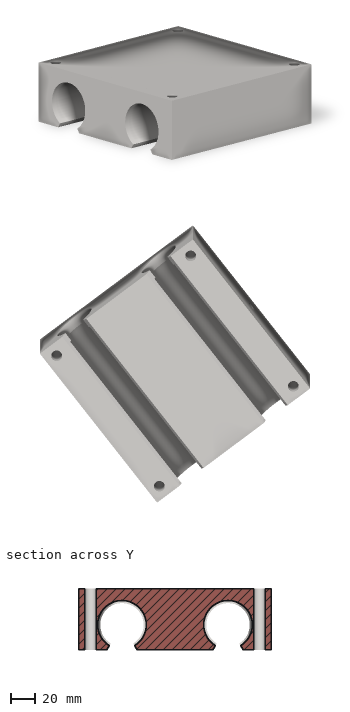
import cadquery as cq
import math

side = 160.0
height = 51.0

bore_spacing = 88.0
bore_z = 21.0
bore_diameter = 36.0
seat_diameter = 40.0
lip_length = 8.0
opening_angle = 62.0

mount_diameter = 9.0
mount_spacing = 140.0

cross_diameter = 6.9
cross_z = 27.0

bore_centers = [-bore_spacing / 2, bore_spacing / 2]


def cylinder_along_y(diameter, x, y_start, length):
    """Cylinder on a bore axis, starting at y_start and running toward +Y."""
    start = cq.Vector(x, y_start, bore_z)
    return cq.Workplane(cq.Solid.makeCylinder(diameter / 2, length, start, cq.Vector(0, 1, 0)))


def bottom_slot(x):
    """Wedge from the bore axis to the underside, along the whole block."""
    half_width = bore_z * math.tan(math.radians(opening_angle / 2))
    profile = [(x, bore_z), (x - half_width, 0), (x + half_width, 0)]
    return cq.Workplane("XZ").polyline(profile).close().extrude(side / 2, both=True)


def open_bore(x):
    """Seat from the -Y side, a narrower lip at the +Y end and a slot opening downward."""
    seat = cylinder_along_y(seat_diameter, x, -side / 2, side - lip_length)
    bore = cylinder_along_y(bore_diameter, x, -side / 2, side)
    return seat.union(bore).union(bottom_slot(x))


def cross_hole():
    """Horizontal hole from the -X side that opens into the nearer bore."""
    length = side / 2 + bore_centers[0]
    start = cq.Vector(-side / 2, 0, cross_z)
    return cq.Workplane(cq.Solid.makeCylinder(cross_diameter / 2, length, start, cq.Vector(1, 0, 0)))


result = cq.Workplane("XY").box(side, side, height, centered=(True, True, False))
for bore_x in bore_centers:
    result = result.cut(open_bore(bore_x))
result = result.cut(cross_hole())
result = (
    result.faces(">Z")
    .workplane(origin=(0, 0, height))
    .rect(mount_spacing, mount_spacing, forConstruction=True)
    .vertices()
    .hole(mount_diameter)
)